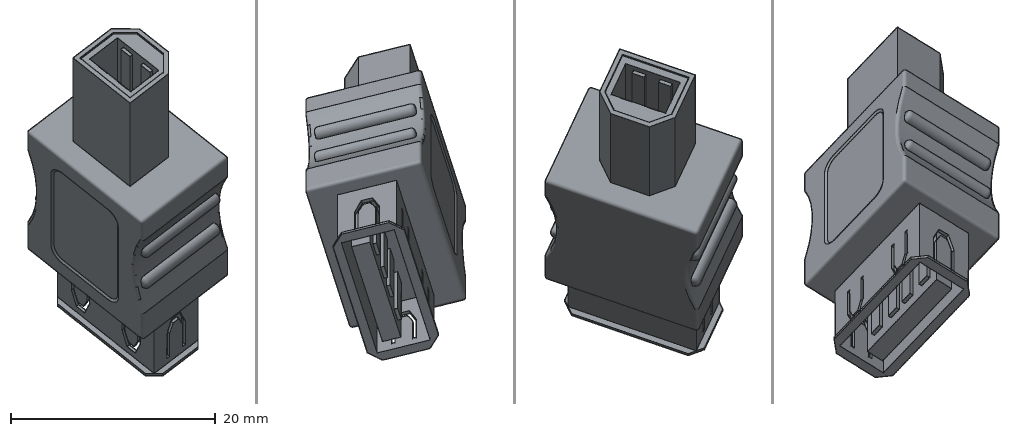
import cadquery as cq
import math

TOTAL_HEIGHT = 40.4

BODY_WIDTH = 16.2
BODY_DEPTH = 11.8
BODY_BOTTOM = 9.1
BODY_TOP = 27.45
BODY_EDGE_RADIUS = 0.32

GRIP_CENTER_Z = 18.85
GRIP_HEIGHT = 11.3
GRIP_SAG = 1.2
RIB_SPACING = 4.8
RIB_RADIUS = 0.73
RIB_LENGTH = 10.2
RIB_END_RADIUS = 0.4
RIB_AXIS_X = 7.15

PANEL_WIDTH = 9.4
PANEL_HEIGHT = 13.97
PANEL_CENTER_Z = 18.25
PANEL_CORNER_RADIUS = 1.55
PANEL_RECESS = 0.15
PANEL_WALL_WIDTH = 0.3

B_WIDTH = 7.95
B_DEPTH = 7.2
B_CORNER_CUT = 1.95
B_RIM = 0.5
B_RIM_DEPTH = 0.25
B_HOLE_WIDTH = 5.75
B_HOLE_DEPTH = 3.8
B_HOLE_CENTER_Y = -0.5
B_CONTACT_WIDTH = 1.3
B_CONTACT_THICKNESS = 0.35
B_CONTACT_SPACING = 2.8
B_CONTACT_DROP = 0.73

A_WIDTH = 13.5
A_DEPTH = 6.0
A_WALL = 0.32
LIP_OVERHANG = 0.6
LIP_THICKNESS = 0.35
TONGUE_WIDTH = 11.05
TONGUE_FRONT_Y = 0.05
TONGUE_THICKNESS = 1.85
A_CONTACT_WIDTH = 1.3
A_CONTACT_THICKNESS = 0.35
A_CONTACT_BOTTOM = 1.85
A_CONTACT_INNER_X = 1.1
A_CONTACT_OUTER_X = 3.8

SPRING_SPACING = 7.05
SPRING_LOW_Z = 1.2
SPRING_LENGTH = 5.57
SPRING_OUTER_HALF = 1.25
SPRING_INNER_HALF = 0.9
SPRING_TIP_OUTER_HALF = 0.55
SPRING_TIP_INNER_HALF = 0.4
SPRING_TAPER = 1.95
SPRING_TIP_GAP = 0.85
SPRING_INNER_TAPER = 1.2


def box(width, depth, bottom, top, x=0.0, y=0.0):
    """Upright block centred on (x, y), from one height to another."""
    return cq.Workplane("XY", origin=(x, y, bottom)).rect(width, depth).extrude(top - bottom)


def grip_cutter():
    """Cylinder whose side sweeps the concave grip into the +X face."""
    radius = ((GRIP_HEIGHT / 2) ** 2 + GRIP_SAG**2) / (2 * GRIP_SAG)
    axis_x = BODY_WIDTH / 2 - GRIP_SAG + radius
    return (
        cq.Workplane("XZ", origin=(axis_x, 0, GRIP_CENTER_Z))
        .circle(radius)
        .extrude(BODY_DEPTH, both=True)
    )


def rib(z):
    """Round bar along Y with rounded ends, half sunk in the +X grip."""
    bar = (
        cq.Workplane("XZ", origin=(RIB_AXIS_X, 0, z))
        .circle(RIB_RADIUS)
        .extrude(RIB_LENGTH / 2, both=True)
    )
    return bar.faces("<Y or >Y").edges().fillet(RIB_END_RADIUS)


def panel_recess():
    """Shallow rounded rectangle whose walls slope inward to the floor."""
    slope = math.degrees(math.atan(PANEL_WALL_WIDTH / PANEL_RECESS))
    return (
        cq.Workplane("XZ", origin=(0, -BODY_DEPTH / 2, PANEL_CENTER_Z))
        .sketch()
        .rect(PANEL_WIDTH, PANEL_HEIGHT)
        .vertices()
        .fillet(PANEL_CORNER_RADIUS)
        .finalize()
        .extrude(-PANEL_RECESS, taper=slope)
    )


def grip_body():
    """Box with concave grips, rounded outer edges, ribs and label panel."""
    body = box(BODY_WIDTH, BODY_DEPTH, BODY_BOTTOM, BODY_TOP)
    cutter = grip_cutter()
    body = body.cut(cutter).cut(cutter.mirror("YZ"))
    body = body.faces("<Y or >Y or <Z or >Z").edges().fillet(BODY_EDGE_RADIUS)
    for z in (GRIP_CENTER_Z - RIB_SPACING / 2, GRIP_CENTER_Z + RIB_SPACING / 2):
        bar = rib(z)
        body = body.union(bar).union(bar.mirror("YZ"))
    return body.cut(panel_recess())


def b_profile(inset, bottom, top):
    """Type B outline: a rectangle with its two +Y corners cut, shrunk evenly by the inset."""
    corner_cut = B_CORNER_CUT - inset * (2 - math.sqrt(2))
    block = box(B_WIDTH - 2 * inset, B_DEPTH - 2 * inset, bottom, top)
    return block.edges("|Z and >Y").chamfer(corner_cut)


def b_socket():
    """Type B stem with a shallow rim recess and a contact well."""
    insert_top = TOTAL_HEIGHT - B_RIM_DEPTH
    socket = b_profile(0, BODY_TOP, TOTAL_HEIGHT)
    socket = socket.cut(b_profile(B_RIM, insert_top, TOTAL_HEIGHT))
    socket = socket.cut(box(B_HOLE_WIDTH, B_HOLE_DEPTH, BODY_TOP, insert_top, y=B_HOLE_CENTER_Y))
    contact_offset = (B_HOLE_DEPTH - B_CONTACT_THICKNESS) / 2
    for x in (-B_CONTACT_SPACING / 2, B_CONTACT_SPACING / 2):
        for y in (B_HOLE_CENTER_Y - contact_offset, B_HOLE_CENTER_Y + contact_offset):
            contact_top = insert_top - B_CONTACT_DROP
            contact = box(B_CONTACT_WIDTH, B_CONTACT_THICKNESS, BODY_TOP, contact_top, x, y)
            socket = socket.union(contact)
    return socket


def spring_slot(plane, depth):
    """U-shaped slot with a tapered tip; the tip is at the local origin and the legs run to local +Y."""
    inner_kink = SPRING_TIP_GAP + SPRING_INNER_TAPER
    right_side = [
        (SPRING_TIP_OUTER_HALF, 0),
        (SPRING_OUTER_HALF, SPRING_TAPER),
        (SPRING_OUTER_HALF, SPRING_LENGTH),
        (SPRING_INNER_HALF, SPRING_LENGTH),
        (SPRING_INNER_HALF, inner_kink),
        (SPRING_TIP_INNER_HALF, SPRING_TIP_GAP),
    ]
    left_side = [(-x, y) for x, y in reversed(right_side)]
    return cq.Workplane(plane).polyline(right_side + left_side).close().extrude(depth)


def a_socket():
    """Type A shell with its flared lip, contact tongue and spring slots."""
    shell = box(A_WIDTH, A_DEPTH, 0, BODY_BOTTOM)
    lip = box(A_WIDTH + 2 * LIP_OVERHANG, A_DEPTH + 2 * LIP_OVERHANG, 0, LIP_THICKNESS)
    shell = shell.union(lip.edges("|Z").chamfer(2 * LIP_OVERHANG))
    shell = shell.cut(box(A_WIDTH - 2 * A_WALL, A_DEPTH - 2 * A_WALL, 0, BODY_BOTTOM))

    for x in (-SPRING_SPACING / 2, SPRING_SPACING / 2):
        front = cq.Plane.named("XZ", origin=(x, -A_DEPTH / 2, SPRING_LOW_Z))
        shell = shell.cut(spring_slot(front, -2 * A_WALL))
    side = cq.Plane(
        origin=(-A_WIDTH / 2, 0, SPRING_LOW_Z + SPRING_LENGTH),
        xDir=(0, -1, 0),
        normal=(1, 0, 0),
    )
    shell = shell.cut(spring_slot(side, A_WIDTH))

    tongue_y = TONGUE_FRONT_Y + TONGUE_THICKNESS / 2
    socket = shell.union(box(TONGUE_WIDTH, TONGUE_THICKNESS, LIP_THICKNESS, BODY_BOTTOM, y=tongue_y))
    contact_y = TONGUE_FRONT_Y - A_CONTACT_THICKNESS / 2
    for x in (-A_CONTACT_OUTER_X, -A_CONTACT_INNER_X, A_CONTACT_INNER_X, A_CONTACT_OUTER_X):
        contact = box(A_CONTACT_WIDTH, A_CONTACT_THICKNESS, A_CONTACT_BOTTOM, BODY_BOTTOM, x, contact_y)
        socket = socket.union(contact)
    return socket


result = grip_body().union(b_socket()).union(a_socket())